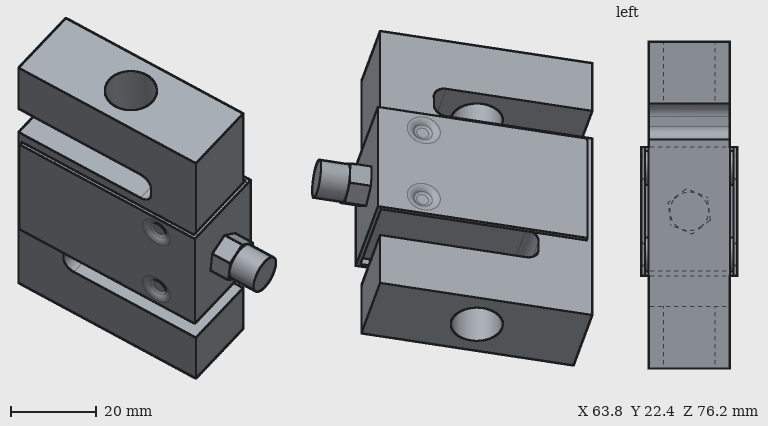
import cadquery as cq
import math

block_length = 50.8
block_width = 19.0
block_height = 76.2
arm_height = 14.5
slot_height = 8.3
slot_depth = 37.95
slot_corner_radius = 3.0
bolt_hole_diameter = 12.1

cover_width = 22.4
cover_height = 30.0
cover_thickness = 0.9
cover_start = 1.6
cover_center_z = -1.45
cover_end = block_length + cover_thickness
cover_gap = cover_width / 2 - cover_thickness - block_width / 2

dimple_x = 40.8
dimple_spacing = 20.1
dimple_rim_radius = 4.0
dimple_bend_radius = 2.2
dimple_floor_radius = 1.45
dimple_depth = 1.1

connector_end = 63.8
hex_length = 5.1
hex_across_flats = 9.2
hex_rotation = 22.5
sleeve_diameter = 9.0


def make_slot(open_end, closed_end, center_z):
    """Slot across the full width, with its two closed-end corners rounded."""
    length = abs(closed_end - open_end)
    closed_side = ">X" if closed_end > open_end else "<X"
    return (
        cq.Workplane("XY")
        .box(length, block_width, slot_height)
        .edges("|Y")
        .edges(closed_side)
        .fillet(slot_corner_radius)
        .translate(((open_end + closed_end) / 2, 0, center_z))
    )


def make_block():
    body = cq.Workplane("XY").box(block_length, block_width, block_height)
    body = body.translate((block_length / 2, 0, 0))
    slot_z = block_height / 2 - arm_height - slot_height / 2
    body = body.cut(make_slot(0, slot_depth, slot_z))
    body = body.cut(make_slot(block_length, block_length - slot_depth, -slot_z))

    bolt_hole = cq.Workplane("XY").circle(bolt_hole_diameter / 2).extrude(arm_height)
    for bottom_z in (-block_height / 2, block_height / 2 - arm_height):
        body = body.cut(bolt_hole.translate((block_length / 2, 0, bottom_z)))
    return body


def make_dimple_recess():
    """Recess around the Y axis, opening at Y = 0 and deepening toward +Y, with an S-curved wall."""
    wall_run = dimple_rim_radius - dimple_floor_radius
    bend_depth = dimple_depth * (dimple_rim_radius - dimple_bend_radius) / wall_run
    return (
        cq.Workplane("XY")
        .lineTo(0, dimple_depth)
        .lineTo(dimple_floor_radius, dimple_depth)
        .tangentArcPoint((dimple_bend_radius, bend_depth), relative=False)
        .tangentArcPoint((dimple_rim_radius, 0), relative=False)
        .close()
        .revolve(360, (0, 0, 0), (0, 1, 0))
    )


def make_cover():
    length = cover_end - cover_start
    body = cq.Workplane("XY").box(length, cover_width, cover_height)
    body = body.translate((cover_start + length / 2, 0, 0))
    inner_length = block_length - cover_start
    inner_width = cover_width - 2 * cover_thickness
    inside = cq.Workplane("XY").box(inner_length, inner_width, cover_height)
    body = body.cut(inside.translate((cover_start + inner_length / 2, 0, 0)))

    pad = (
        cq.Workplane("XZ", origin=(0, cover_thickness, 0))
        .circle(dimple_rim_radius)
        .extrude(-cover_gap)
    )
    recess = make_dimple_recess()
    for z in (-dimple_spacing / 2, dimple_spacing / 2):
        place = (dimple_x, -cover_width / 2, z)
        front_pad = pad.translate(place)
        front_recess = recess.translate(place)
        body = body.union(front_pad).union(front_pad.mirror("XZ"))
        body = body.cut(front_recess).cut(front_recess.mirror("XZ"))
    return body


def make_connector():
    hex_across_corners = hex_across_flats / math.cos(math.pi / 6)
    hexagon = (
        cq.Workplane("YZ", origin=(cover_end, 0, 0))
        .polygon(6, hex_across_corners)
        .extrude(hex_length)
        .rotate((0, 0, 0), (1, 0, 0), hex_rotation)
    )
    sleeve_start = cover_end + hex_length
    sleeve = (
        cq.Workplane("YZ", origin=(sleeve_start, 0, 0))
        .circle(sleeve_diameter / 2)
        .extrude(connector_end - sleeve_start)
    )
    return hexagon.union(sleeve)


block = make_block()
cover = make_cover().translate((0, 0, cover_center_z))
connector = make_connector().translate((0, 0, cover_center_z))

result = cq.Compound.makeCompound([
    block.solids().val(),
    cover.solids().val(),
    connector.solids().val(),
])